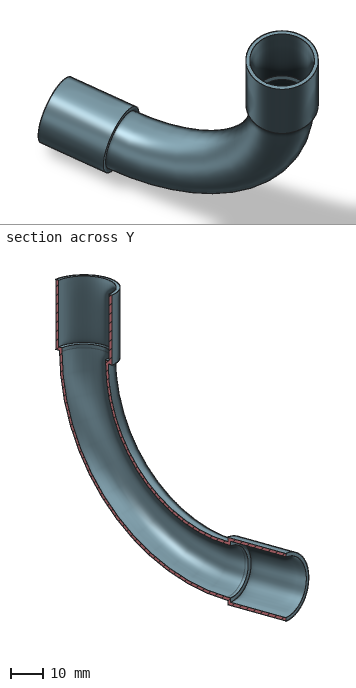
import cadquery as cq

overall_length = 91.85
socket_diameter = 22.5
socket_bore = 20.0
socket_length = 23.2
tube_diameter = 19.7
tube_bore = 17.2
shoulder_thickness = (tube_diameter - tube_bore) / 2

axis_offset = overall_length / 2 - socket_diameter / 2
bend_start = -overall_length / 2 + socket_length
bend_radius = axis_offset - bend_start


def socket_plane(name):
    """Open-end plane of the horizontal or vertical socket, facing into the part."""
    if name == "horizontal":
        return cq.Plane(origin=(-overall_length / 2, 0, -axis_offset), xDir=(0, 1, 0), normal=(1, 0, 0))
    return cq.Plane(origin=(axis_offset, 0, overall_length / 2), xDir=(1, 0, 0), normal=(0, 0, -1))


def socket_cylinder(name, diameter, depth):
    """Cylinder reaching inward from a socket's open end."""
    return cq.Workplane(socket_plane(name)).circle(diameter / 2).extrude(depth)


def bend(diameter):
    """Quarter-torus about the bend centre, from the horizontal to the vertical socket."""
    start_plane = cq.Plane(origin=(bend_start, 0, -axis_offset), xDir=(0, 0, 1), normal=(1, 0, 0))
    return (
        cq.Workplane(start_plane)
        .circle(diameter / 2)
        .revolve(90, (bend_radius, 0), (bend_radius, 1))
    )


result = bend(tube_diameter)
for socket in ("horizontal", "vertical"):
    result = result.union(socket_cylinder(socket, socket_diameter, socket_length))

result = result.cut(bend(tube_bore))
for socket in ("horizontal", "vertical"):
    result = result.cut(socket_cylinder(socket, tube_bore, socket_length))
    result = result.cut(socket_cylinder(socket, socket_bore, socket_length - shoulder_thickness))